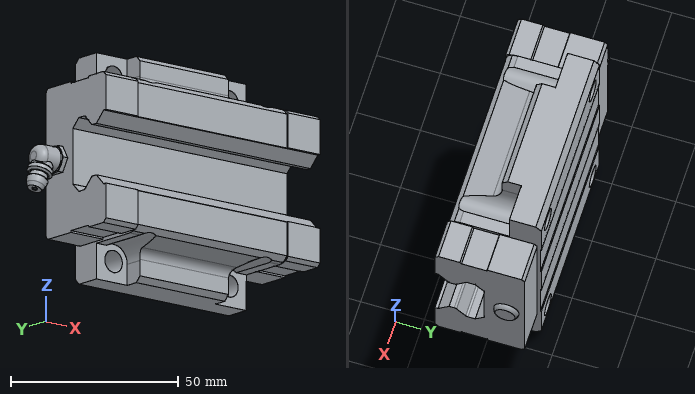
import cadquery as cq
import math


block_length = 58.3
block_depth = 29.0
block_chamfer = 1.75
flange_half_width = 35.0
flange_thickness = 16.0
root_radius = 3.0
wall_draft = math.radians(10)
wall_foot_half_width = 23.65
relief_depth = 0.3
relief_inner = 6.1
relief_outer = 20.4

hole_diameter = 6.8
hole_pitch_x = 45.0
hole_pitch_z = 57.0
pocket_radius = 5.3
pocket_floor_depth = 10.0
pocket_wall_half_width = 23.95

cap_length = 12.5
cap_top_depth = 1.3
cap_bottom_depth = 29.5
cap_half_width = 23.35
cap_top_chamfer = 0.95
cap_bottom_chamfer = 1.2
cap_groove_depth = 0.55
cap_groove_start = 13.1
cap_groove_end = 21.1
cap_groove_slope = 0.5

channel_floor_depth = 14.0
channel_floor_half_width = 8.6
channel_half_width = 11.4
channel_lip_half_width = 7.95
race_depth = 19.5
lip_end_depth = 25.0
race_fillet = 1.0

nipple_depth = 7.0
nipple_diameter = 7.85
elbow_length = 9.5
elbow_round = 2.5
hex_across_flats = 8.0
hex_thickness = 1.7
shoulder_radius = 4.2
shoulder_height = 0.3
branch_tilt = 20.0
branch_start = 5.39
stem_radius = 3.4
collar_radius = 3.925
collar_foot_radius = 3.2
neck_radius = 2.75
head_radius = 3.3
head_taper_radius = 2.85
tip_radius = 2.2
collar_start = 3.5
collar_crest_start = 3.9
collar_crest_end = 5.2
collar_end = 5.8
neck_end = 7.15
head_start = 7.5
head_taper_start = 9.6
branch_length = 10.85
grease_hole_diameter = 1.6
grease_hole_depth = 0.3
plug_length = 1.6
plug_crown_radius = 3.15

cap_face = block_length / 2 + cap_length


def mirrored_prism(half_outline, length):
    """Extrude a half outline of (depth, z) points, centred on X, together with its mirror in Z = 0."""
    points = [(-depth, z) for depth, z in half_outline]
    half = cq.Workplane("YZ").polyline(points).close().extrude(length / 2, both=True)
    return half.union(half.mirror("XY"))


def make_block():
    tangent_depth = flange_thickness + root_radius * (1 - math.sin(wall_draft))
    foot_depth = block_depth - block_chamfer
    tangent_z = wall_foot_half_width + (foot_depth - tangent_depth) * math.tan(wall_draft)
    root_center_z = tangent_z + root_radius * math.cos(wall_draft)
    mid_angle = (math.pi / 2 - wall_draft) / 2
    arc_mid_depth = flange_thickness + root_radius * (1 - math.cos(mid_angle))
    arc_mid_z = root_center_z - root_radius * math.sin(mid_angle)
    half = (
        cq.Workplane("YZ")
        .moveTo(0, 0)
        .lineTo(0, relief_inner)
        .lineTo(-relief_depth, relief_inner + relief_depth)
        .lineTo(-relief_depth, relief_outer - relief_depth)
        .lineTo(0, relief_outer)
        .lineTo(0, flange_half_width - block_chamfer)
        .lineTo(-block_chamfer, flange_half_width)
        .lineTo(block_chamfer - flange_thickness, flange_half_width)
        .lineTo(-flange_thickness, flange_half_width - block_chamfer)
        .lineTo(-flange_thickness, root_center_z)
        .threePointArc((-arc_mid_depth, arc_mid_z), (-tangent_depth, tangent_z))
        .lineTo(-foot_depth, wall_foot_half_width)
        .lineTo(-block_depth, wall_foot_half_width - block_chamfer)
        .lineTo(-block_depth, 0)
        .close()
        .extrude(block_length / 2, both=True)
    )
    return half.union(half.mirror("XY"))


def cut_flange_corner(body, side_x, side_z):
    """Cut one screw hole and its pocket, which is open toward the nearest end and the flange edge."""
    hole_x = side_x * hole_pitch_x / 2
    hole_z = side_z * hole_pitch_z / 2
    height = block_depth - pocket_floor_depth

    def box(x_inner, z_inner):
        x_outer = side_x * block_length / 2
        z_outer = side_z * flange_half_width
        return (
            cq.Workplane("XY")
            .box(abs(x_outer - x_inner), height, abs(z_outer - z_inner))
            .translate((
                (x_outer + x_inner) / 2,
                -pocket_floor_depth - height / 2,
                (z_outer + z_inner) / 2,
            ))
        )

    corner = cq.Workplane("XZ").center(hole_x, hole_z)
    round_end = corner.workplane(offset=pocket_floor_depth).circle(pocket_radius).extrude(height)
    hole = corner.circle(hole_diameter / 2).extrude(flange_thickness)
    beside_hole = box(hole_x - side_x * pocket_radius, hole_z)
    along_wall = box(hole_x, side_z * pocket_wall_half_width)
    return body.cut(round_end).cut(beside_hole).cut(along_wall).cut(hole)


def make_caps():
    groove_half_width = cap_half_width - cap_groove_depth
    outline = [
        (cap_top_depth, 0),
        (cap_top_depth, cap_half_width - cap_top_chamfer),
        (cap_top_depth + cap_top_chamfer, cap_half_width),
        (cap_groove_start, cap_half_width),
        (cap_groove_start, groove_half_width),
        (cap_groove_end, groove_half_width),
        (cap_groove_end + cap_groove_slope, cap_half_width),
        (cap_bottom_depth - cap_bottom_chamfer, cap_half_width),
        (cap_bottom_depth, cap_half_width - cap_bottom_chamfer),
        (cap_bottom_depth, 0),
    ]
    cap_offset = (block_length + cap_length) / 2
    cap = mirrored_prism(outline, cap_length)
    return cap.translate((cap_offset, 0, 0)).union(cap.translate((-cap_offset, 0, 0)))


def make_rail_channel():
    flare = channel_half_width - channel_floor_half_width
    drop = channel_half_width - channel_lip_half_width
    outline = [
        (channel_floor_depth, 0),
        (channel_floor_depth, channel_floor_half_width),
        (channel_floor_depth + flare, channel_half_width),
        (race_depth, channel_half_width),
        (race_depth + drop, channel_lip_half_width),
        (lip_end_depth, channel_lip_half_width),
        (lip_end_depth + drop, channel_half_width),
        (cap_bottom_depth, channel_half_width),
        (cap_bottom_depth, 0),
    ]
    channel = mirrored_prism(outline, 2 * cap_face)
    edge_reach = 0.01
    for side in (-1, 1):
        for depth, z in ((race_depth, channel_half_width), (race_depth + drop, channel_lip_half_width)):
            selector = cq.selectors.BoxSelector(
                (-edge_reach, -depth - edge_reach, side * z - edge_reach),
                (edge_reach, -depth + edge_reach, side * z + edge_reach),
            )
            channel = channel.edges(selector).fillet(race_fillet)
    return channel


def make_hex():
    """Hexagon at the foot of the nipple, corners along Y, with a conical shoulder beyond it."""
    corner_diameter = 2 * hex_across_flats / math.sqrt(3)
    hexagon = cq.Workplane("YZ").polygon(6, corner_diameter).extrude(-hex_thickness)
    shoulder_end = hex_thickness + shoulder_height
    shoulder = (
        cq.Workplane("XY")
        .polyline([
            (0, 0),
            (0, nipple_diameter / 2),
            (-hex_thickness, nipple_diameter / 2),
            (-hex_thickness, shoulder_radius),
            (-shoulder_end, nipple_diameter / 2),
            (-shoulder_end, 0),
        ])
        .close()
        .revolve(360, (0, 0, 0), (1, 0, 0))
    )
    return hexagon.union(shoulder)


def make_branch():
    """Nipple branch turned about Z, pointing down -Z, then tilted toward -X."""
    head_drop = head_radius - head_taper_radius
    head_run = head_taper_start - head_start
    bulge_radius = (head_drop ** 2 + head_run ** 2) / (2 * head_drop)
    half_angle = math.asin(head_run / bulge_radius) / 2
    head_bulge = (
        head_radius - bulge_radius * (1 - math.cos(half_angle)),
        -head_start - bulge_radius * math.sin(half_angle),
    )
    branch = (
        cq.Workplane("XZ")
        .polyline([
            (0, 0),
            (stem_radius, 0),
            (stem_radius, -collar_start),
            (collar_radius, -collar_crest_start),
            (collar_radius, -collar_crest_end),
            (collar_foot_radius, -collar_end),
            (neck_radius, -collar_end),
            (neck_radius, -neck_end),
            (head_radius, -head_start),
        ])
        .threePointArc(head_bulge, (head_taper_radius, -head_taper_start))
        .lineTo(tip_radius, -branch_length)
        .lineTo(0, -branch_length)
        .close()
        .revolve(360, (0, 0, 0), (0, 1, 0))
    )
    branch = branch.faces("<Z").workplane().hole(grease_hole_diameter, grease_hole_depth)
    return branch.rotate((0, 0, 0), (0, 1, 0), branch_tilt)


def make_nipple():
    """Elbow nipple standing on a face at X = 0 and pointing toward -X."""
    elbow = cq.Workplane("YZ").circle(nipple_diameter / 2).extrude(-elbow_length)
    elbow = elbow.faces("<X").edges().fillet(elbow_round)
    branch = make_branch().translate((-branch_start, 0, 0))
    return elbow.union(make_hex()).union(branch)


def make_plug():
    """Round plug closing the grease port at the +X end, standing on a face at X = 0."""
    base_radius = nipple_diameter / 2
    drop = base_radius - plug_crown_radius
    crown_arc = (drop ** 2 + plug_length ** 2) / (2 * drop)
    half_angle = math.asin(plug_length / crown_arc) / 2
    arc_middle = (crown_arc * math.sin(half_angle), base_radius - crown_arc * (1 - math.cos(half_angle)))
    return (
        cq.Workplane("XY")
        .lineTo(0, base_radius)
        .threePointArc(arc_middle, (plug_length, plug_crown_radius))
        .lineTo(plug_length, 0)
        .close()
        .revolve(360, (0, 0, 0), (1, 0, 0))
    )


block = make_block()
for corner_x in (-1, 1):
    for corner_z in (-1, 1):
        block = cut_flange_corner(block, corner_x, corner_z)

carriage = block.union(make_caps()).cut(make_rail_channel())
nipple = make_nipple().translate((-cap_face, -nipple_depth, 0))
plug = make_plug().translate((cap_face, -nipple_depth, 0))
result = carriage.union(nipple).union(plug).clean()